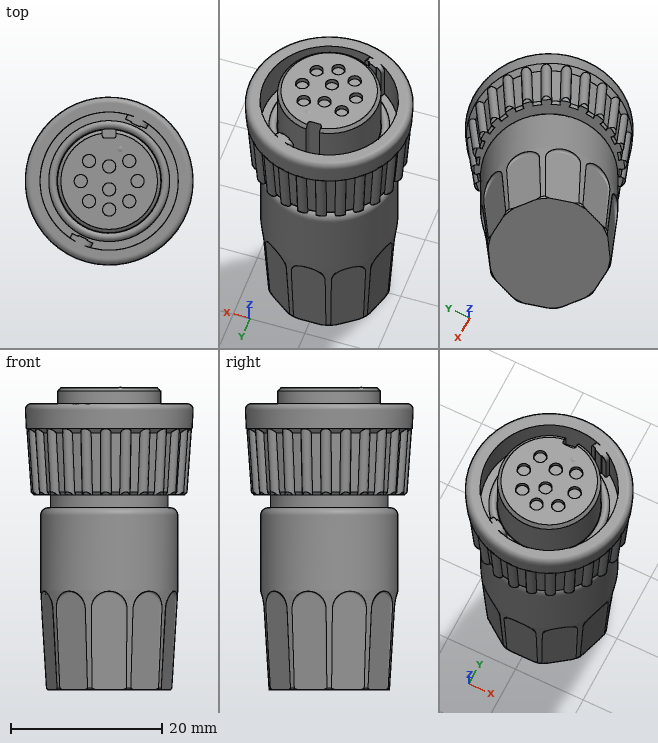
import math

import cadquery as cq

TOTAL_HEIGHT = 40.03
DOME_HEIGHT = 0.07
FACE_Z = TOTAL_HEIGHT - DOME_HEIGHT

NUT_RADIUS = 9.08
NUT_TOP_Z = 24.1
NUT_SHOULDER_FILLET = 1.0
GRIP_TOP_Z = 13.1
GRIP_BOTTOM_RADIUS = 8.3
GRIP_END_CHAMFER_RADIAL = 0.2
GRIP_END_CHAMFER_HEIGHT = 0.25
FLAT_COUNT = 10
FLAT_TILT = 3.0
FLAT_BOTTOM_APOTHEM = 7.94
FLAT_WIDTH = 4.86
FLAT_FLOOR_FILLET = 0.3
FLAT_CUT_DEPTH = 1.5

NECK_RADIUS = 7.8

RING_RADIUS = 11.11
RING_TOP_Z = 37.86
RING_BOTTOM_Z = 25.8
RING_TAPER = 3.0
RING_TOP_FILLET = 0.8
BAND_BOTTOM_Z = 34.6
BAND_UNDERCUT_HEIGHT = 0.6
CAVITY_RADIUS = 9.14
CAVITY_FLOOR_Z = 32.35
RIB_COUNT = 24
RIB_RADIUS = 0.7
RIB_SETBACK = 0.08
RIB_LEAN = 4.0
RIB_START_ANGLE = -2.5
RING_END_CHAMFER = 0.35

LUG_ANGLES = (65.0, 245.0)
LUG_WIDTH = 3.0
LUG_INNER_RADIUS = 8.35
LUG_END_FILLET = 0.8
LUG_CENTRE_WIDTH = 1.3
LUG_ROOT_OVERLAP = 0.4
LUG_CENTRE_INNER_RADIUS = 8.22

SEAL_RADIUS = 7.45
SEAL_SECTION_RADIUS = 0.55

INSERT_RADIUS = 6.83
INSERT_CHAMFER = 0.45
KEYWAY_WIDTH = 1.85
KEYWAY_FLOOR_Y = 5.69
KEYWAY_CORNER_RADIUS = 0.35
CONTACT_RADIUS = 0.87
CONTACT_DEPTH = 0.7
CONTACT_CIRCLE_RADIUS = 3.76
CONTACT_CIRCLE_ANGLES = (0, 45, 135, 180, 225, 270, 315)
CENTRE_CONTACTS = ((0, 1.94), (0, -1.1))
DOME_CENTRE = (1.5, 4.22)
DOME_RADIUS = 0.38

TAPER_SLOPE = math.tan(math.radians(RING_TAPER))
RIB_SLOPE = math.tan(math.radians(RIB_LEAN))
BAND_TOP_Z = RING_TOP_Z - RING_TOP_FILLET


def band_radius(z):
    """Radius of the tapered outside of the coupling ring at height z."""
    return RING_RADIUS - (BAND_TOP_Z - z) * TAPER_SLOPE


def rib_crest_radius(z):
    """Radius of the crests of the grip ribs at height z."""
    return band_radius(BAND_BOTTOM_Z) - RIB_SETBACK - (BAND_BOTTOM_Z - z) * RIB_SLOPE


def groove_radius(z):
    """Radius of the groove floors between the grip ribs at height z."""
    return rib_crest_radius(z) - RIB_RADIUS


def rounded_shoulder(radius, top_z, fillet):
    """Middle and end points of a quarter-round from the side to the top of a turned shoulder."""
    drop = fillet * (1 - math.sqrt(0.5))
    return (radius - drop, top_z - drop), (radius - fillet, top_z)


def revolve_profile(profile):
    """Turn a closed (radius, z) profile once around the Z axis."""
    return profile.close().revolve(360, (0, 0, 0), (0, 1, 0))


def make_flat_cutter():
    """Arched pocket with a tilted flat floor, on the -Y side of the nut."""
    floor_plane = cq.Plane(origin=(0, -FLAT_BOTTOM_APOTHEM, 0), xDir=(1, 0, 0), normal=(0, -1, 0))
    floor_plane = floor_plane.rotated((FLAT_TILT, 0, 0))
    half_width = FLAT_WIDTH / 2
    spring = GRIP_TOP_Z - half_width
    lower_end = -FLAT_CUT_DEPTH
    return (
        cq.Workplane(floor_plane)
        .moveTo(-half_width, lower_end)
        .lineTo(half_width, lower_end)
        .lineTo(half_width, spring)
        .threePointArc((0, GRIP_TOP_Z), (-half_width, spring))
        .close()
        .extrude(FLAT_CUT_DEPTH)
        .faces(cq.selectors.DirectionMinMaxSelector(floor_plane.zDir, False))
        .edges()
        .fillet(FLAT_FLOOR_FILLET)
    )


def make_nut():
    """Clamping nut with a rounded shoulder and ten arched grip flats."""
    profile = (
        cq.Workplane("XZ")
        .lineTo(GRIP_BOTTOM_RADIUS - GRIP_END_CHAMFER_RADIAL, 0)
        .lineTo(GRIP_BOTTOM_RADIUS, GRIP_END_CHAMFER_HEIGHT)
        .lineTo(NUT_RADIUS, GRIP_TOP_Z)
        .lineTo(NUT_RADIUS, NUT_TOP_Z - NUT_SHOULDER_FILLET)
        .threePointArc(*rounded_shoulder(NUT_RADIUS, NUT_TOP_Z, NUT_SHOULDER_FILLET))
        .lineTo(0, NUT_TOP_Z)
    )
    nut = revolve_profile(profile)
    cutter = make_flat_cutter()
    for index in range(FLAT_COUNT):
        nut = nut.cut(cutter.rotate((0, 0, 0), (0, 0, 1), index * 360 / FLAT_COUNT))
    return nut


def make_rib():
    """Round grip rib on the -Y side, leaning outward towards the band."""
    foot_z = RING_BOTTOM_Z - RIB_RADIUS
    foot_y = -groove_radius(foot_z)
    height = BAND_BOTTOM_Z - foot_z
    lean = cq.Vector(0, -RIB_SLOPE, 1)
    return cq.Workplane(cq.Solid.makeCylinder(RIB_RADIUS, height, cq.Vector(0, foot_y, foot_z), lean))


def make_lug(width, inner_radius):
    """Straight lug on the +X side, from the cavity floor to the ring's top face."""
    outer_radius = CAVITY_RADIUS + LUG_ROOT_OVERLAP
    return (
        cq.Workplane("XY")
        .workplane(offset=CAVITY_FLOOR_Z)
        .center((inner_radius + outer_radius) / 2, 0)
        .rect(outer_radius - inner_radius, width)
        .extrude(RING_TOP_Z - CAVITY_FLOOR_Z)
    )


def make_coupling_ring():
    """Tapered coupling ring: smooth band over a ribbed grip, open at the top."""
    groove_foot_z = RING_BOTTOM_Z + RING_END_CHAMFER
    groove_top_z = BAND_BOTTOM_Z - BAND_UNDERCUT_HEIGHT
    profile = (
        cq.Workplane("XZ")
        .moveTo(0, RING_BOTTOM_Z)
        .lineTo(groove_radius(groove_foot_z) - RING_END_CHAMFER, RING_BOTTOM_Z)
        .lineTo(groove_radius(groove_foot_z), groove_foot_z)
        .lineTo(groove_radius(groove_top_z), groove_top_z)
        .lineTo(band_radius(BAND_BOTTOM_Z), BAND_BOTTOM_Z)
        .lineTo(RING_RADIUS, BAND_TOP_Z)
        .threePointArc(*rounded_shoulder(RING_RADIUS, RING_TOP_Z, RING_TOP_FILLET))
        .lineTo(CAVITY_RADIUS, RING_TOP_Z)
        .lineTo(CAVITY_RADIUS, CAVITY_FLOOR_Z)
        .lineTo(0, CAVITY_FLOOR_Z)
    )
    ring = revolve_profile(profile)

    rib = make_rib()
    for index in range(RIB_COUNT):
        angle = RIB_START_ANGLE + index * 360 / RIB_COUNT
        ring = ring.union(rib.rotate((0, 0, 0), (0, 0, 1), angle))

    chamfer_radius = rib_crest_radius(RING_BOTTOM_Z) - RING_END_CHAMFER
    trim_height = 2 * RIB_RADIUS
    rib_foot_trim = revolve_profile(
        cq.Workplane("XZ")
        .moveTo(0, RING_BOTTOM_Z)
        .lineTo(chamfer_radius, RING_BOTTOM_Z)
        .lineTo(chamfer_radius + trim_height, RING_BOTTOM_Z + trim_height)
        .lineTo(chamfer_radius + trim_height, RING_BOTTOM_Z - trim_height)
        .lineTo(0, RING_BOTTOM_Z - trim_height)
    )
    ring = ring.cut(rib_foot_trim)

    lug = make_lug(LUG_WIDTH, LUG_INNER_RADIUS).edges(">Z and |X").fillet(LUG_END_FILLET)
    lug = lug.union(make_lug(LUG_CENTRE_WIDTH, LUG_CENTRE_INNER_RADIUS))
    for angle in LUG_ANGLES:
        ring = ring.union(lug.rotate((0, 0, 0), (0, 0, 1), angle))
    return ring


def make_neck():
    """Plain neck joining the nut to the coupling ring."""
    length = RING_BOTTOM_Z - NUT_TOP_Z
    return cq.Workplane("XY").workplane(offset=NUT_TOP_Z).circle(NECK_RADIUS).extrude(length)


def make_seal():
    """Round sealing ring half sunk in the cavity floor."""
    section = cq.Workplane("XZ").center(SEAL_RADIUS, CAVITY_FLOOR_Z).circle(SEAL_SECTION_RADIUS)
    return section.revolve(360, (-SEAL_RADIUS, 0, 0), (-SEAL_RADIUS, 1, 0))


def make_dome():
    """Shallow marking dome, rooted in the insert just below its face."""
    sphere_radius = (DOME_RADIUS**2 + DOME_HEIGHT**2) / (2 * DOME_HEIGHT)
    sphere = cq.Workplane("XY").sphere(sphere_radius).translate((0, 0, DOME_HEIGHT - sphere_radius))
    root = cq.Workplane("XY").workplane(offset=-DOME_HEIGHT).circle(DOME_RADIUS).extrude(2 * DOME_HEIGHT)
    return root.intersect(sphere).translate((*DOME_CENTRE, FACE_Z))


def make_insert():
    """Contact insert with a keyway, nine contact holes and a raised marking dome."""
    insert = (
        cq.Workplane("XY")
        .workplane(offset=CAVITY_FLOOR_Z)
        .circle(INSERT_RADIUS)
        .extrude(FACE_Z - CAVITY_FLOOR_Z)
        .faces(">Z")
        .chamfer(INSERT_CHAMFER)
    )

    keyway_length = 2 * (INSERT_RADIUS - KEYWAY_FLOOR_Y)
    keyway = (
        cq.Workplane("XY")
        .workplane(offset=CAVITY_FLOOR_Z)
        .center(0, KEYWAY_FLOOR_Y + keyway_length / 2)
        .rect(KEYWAY_WIDTH, keyway_length)
        .extrude(FACE_Z - CAVITY_FLOOR_Z)
        .edges("|Z and <Y")
        .fillet(KEYWAY_CORNER_RADIUS)
    )
    insert = insert.cut(keyway)

    contacts = list(CENTRE_CONTACTS)
    for angle in CONTACT_CIRCLE_ANGLES:
        turn = math.radians(angle)
        contacts.append((CONTACT_CIRCLE_RADIUS * math.cos(turn), CONTACT_CIRCLE_RADIUS * math.sin(turn)))
    holes = (
        cq.Workplane("XY")
        .workplane(offset=FACE_Z)
        .pushPoints(contacts)
        .circle(CONTACT_RADIUS)
        .extrude(-CONTACT_DEPTH)
    )
    insert = insert.cut(holes)

    return insert.union(make_dome())


result = make_nut()
for section in (make_neck(), make_coupling_ring(), make_seal(), make_insert()):
    result = result.union(section)